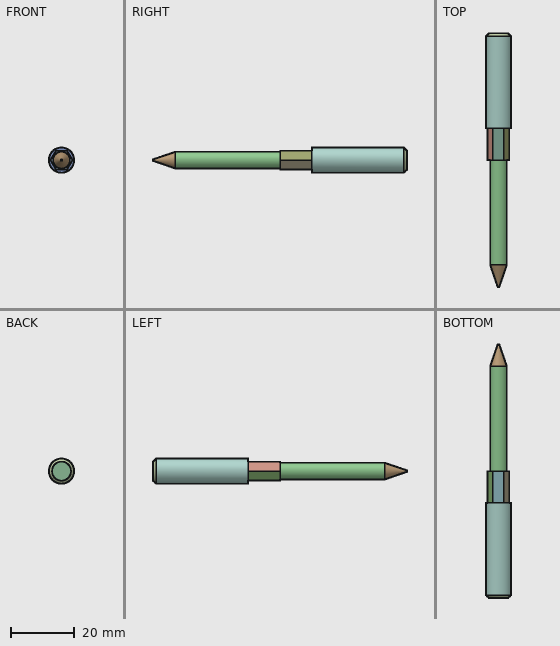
import cadquery as cq
import math

TOTAL_LENGTH = 80.0

HANDLE_DIAMETER = 8.0
HANDLE_LENGTH = 30.0
HANDLE_CHAMFER = 1.0

HEX_ACROSS_FLATS = 6.0
HEX_LENGTH = 10.0

SHANK_DIAMETER = 5.3
POINT_LENGTH = 7.0
TIP_DIAMETER = 0.5

HEX_ACROSS_CORNERS = HEX_ACROSS_FLATS / math.cos(math.pi / 6)

TIP_Y = -TOTAL_LENGTH / 2
POINT_BASE_Y = TIP_Y + POINT_LENGTH
HANDLE_END_Y = TOTAL_LENGTH / 2
HANDLE_SHOULDER_Y = HANDLE_END_Y - HANDLE_LENGTH
HEX_FRONT_Y = HANDLE_SHOULDER_Y - HEX_LENGTH


def plane_across_axis(y):
    """Plane at the given Y, facing +Y, with its local x axis along global X."""
    return cq.Plane(origin=(0, y, 0), xDir=(1, 0, 0), normal=(0, 1, 0))


def make_handle():
    """Round handle with a chamfered rear end."""
    workplane = cq.Workplane(plane_across_axis(HANDLE_SHOULDER_Y))
    cylinder = workplane.circle(HANDLE_DIAMETER / 2).extrude(HANDLE_LENGTH)
    return cylinder.faces(">Y").edges().chamfer(HANDLE_CHAMFER)


def make_hex():
    """Hexagonal wrench section with corners on +X and -X and flats facing +Z and -Z."""
    workplane = cq.Workplane(plane_across_axis(HEX_FRONT_Y))
    return workplane.polygon(6, HEX_ACROSS_CORNERS).extrude(HEX_LENGTH)


def make_pointed_shank():
    """Round shank and its blunted conical point, revolved about the Y axis."""
    shank_radius = SHANK_DIAMETER / 2
    profile = (
        cq.Workplane("XY")
        .moveTo(0, TIP_Y)
        .lineTo(TIP_DIAMETER / 2, TIP_Y)
        .lineTo(shank_radius, POINT_BASE_Y)
        .lineTo(shank_radius, HEX_FRONT_Y)
        .lineTo(0, HEX_FRONT_Y)
        .close()
    )
    return profile.revolve(360, (0, 0, 0), (0, 1, 0))


result = make_handle().union(make_hex()).union(make_pointed_shank())